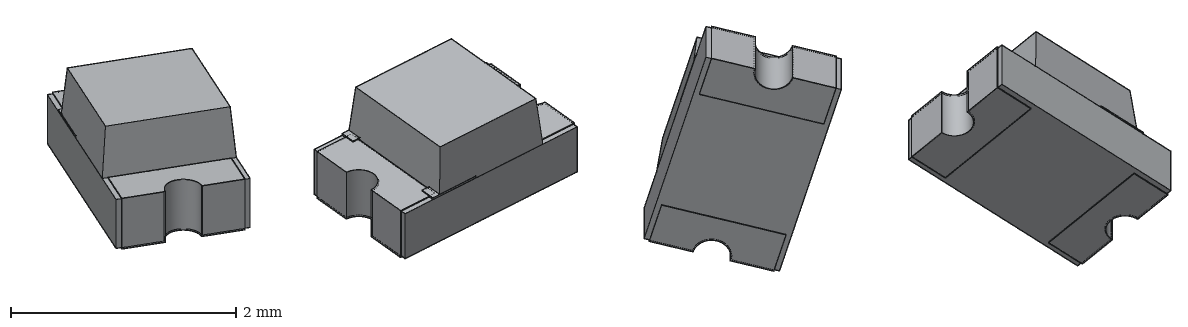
import cadquery as cq
import math

OVERALL_LENGTH = 2.02
OVERALL_HEIGHT = 1.01

PLATING = 0.01
SUBSTRATE_WIDTH = 1.25
SUBSTRATE_HEIGHT = 0.499

TERMINAL_REACH = 0.4
TERMINAL_WIDTH = 1.15
NOTCH_RADIUS = 0.17

LENS_BASE_LENGTH = 1.2
LENS_DRAFT = 5.0

MARK_LENGTH = 0.5
MARK_WIDTH = 0.15
MARK_HEIGHT = 0.02
MARK_START_X = -0.677

HALF_LENGTH = OVERALL_LENGTH / 2
SUBSTRATE_LENGTH = OVERALL_LENGTH - 2 * PLATING
SUBSTRATE_TOP = PLATING + SUBSTRATE_HEIGHT
TERMINAL_HEIGHT = SUBSTRATE_HEIGHT + 2 * PLATING
LENS_HEIGHT = OVERALL_HEIGHT - SUBSTRATE_TOP
LENS_TAPER = LENS_HEIGHT * math.tan(math.radians(LENS_DRAFT))
LENS_BASE_WIDTH = SUBSTRATE_WIDTH

END_SIDES = (-1, 1)
EDGE_SIDES = (-1, 1)


def base_box(length, width, height, bottom):
    """Box centred on X = Y = 0 and standing on the height `bottom`."""
    return cq.Workplane("XY").workplane(offset=bottom).box(
        length, width, height, centered=(True, True, False)
    )


def end_cylinder(side, radius):
    """Upright cylinder through the full terminal height, centred on an end face."""
    return cq.Workplane("XY").center(side * HALF_LENGTH, 0).circle(radius).extrude(TERMINAL_HEIGHT)


def make_substrate():
    """Board with a half-round notch in each end, oversize to leave room for the plating."""
    substrate = base_box(SUBSTRATE_LENGTH, SUBSTRATE_WIDTH, SUBSTRATE_HEIGHT, PLATING)
    for side in END_SIDES:
        substrate = substrate.cut(end_cylinder(side, NOTCH_RADIUS + PLATING))
    return substrate


def make_terminal(side, substrate):
    """Thin metal cap that wraps one end of the board and lines its notch."""
    block = base_box(TERMINAL_REACH, TERMINAL_WIDTH, TERMINAL_HEIGHT, 0).translate(
        (side * (HALF_LENGTH - TERMINAL_REACH / 2), 0, 0)
    )
    return block.cut(end_cylinder(side, NOTCH_RADIUS)).cut(substrate)


def make_mark(side, terminal):
    """Flat polarity mark along one long edge, draped over the inner end of the terminal."""
    centre_x = MARK_START_X + MARK_LENGTH / 2
    centre_y = side * (SUBSTRATE_WIDTH - MARK_WIDTH) / 2
    strip = base_box(MARK_LENGTH, MARK_WIDTH, MARK_HEIGHT, SUBSTRATE_TOP)
    return strip.translate((centre_x, centre_y, 0)).cut(terminal)


def make_lens(marks):
    """Tapered block on the board, recessed underneath around the polarity marks."""
    lens = (
        cq.Workplane("XY")
        .workplane(offset=SUBSTRATE_TOP)
        .rect(LENS_BASE_LENGTH, LENS_BASE_WIDTH)
        .workplane(offset=LENS_HEIGHT)
        .rect(LENS_BASE_LENGTH - 2 * LENS_TAPER, LENS_BASE_WIDTH - 2 * LENS_TAPER)
        .loft(ruled=True)
    )
    for mark in marks:
        lens = lens.cut(mark)
    return lens


substrate = make_substrate()
terminals = [make_terminal(side, substrate) for side in END_SIDES]
left_terminal = terminals[0]
marks = [make_mark(side, left_terminal) for side in EDGE_SIDES]
lens = make_lens(marks)

bodies = [substrate, lens, *terminals, *marks]
result = cq.Compound.makeCompound([body.solids().val() for body in bodies])